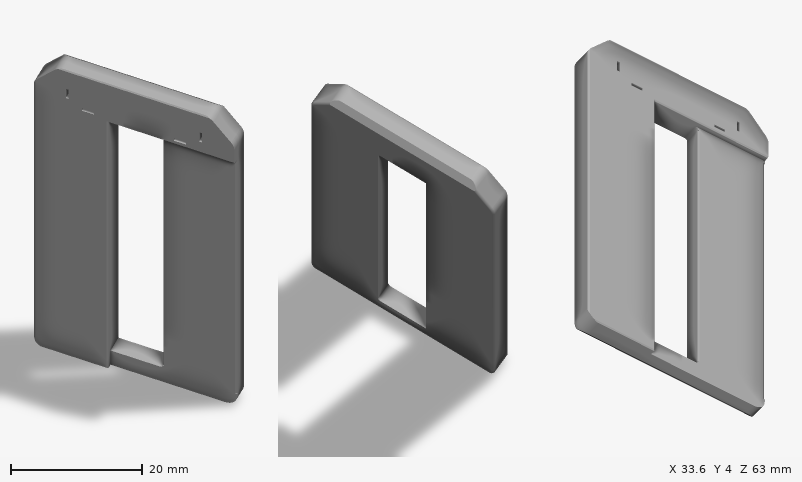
import cadquery as cq

WIDTH = 33.6
HEIGHT = 63.0
DEPTH = 4.0
PLATE_DEPTH = 1.0
FRAME_DEPTH = DEPTH - PLATE_DEPTH
FRONT_Y = -DEPTH / 2
JOINT_Y = FRONT_Y + PLATE_DEPTH
BACK_Y = DEPTH / 2
HALF_WIDTH = WIDTH / 2

CORNER_RADIUS = 2.0
TOP_CUT_WIDTH = 4.1
TOP_CUT_HEIGHT = 4.6

BACK_FILLET = 0.45
BACK_CHAMFER = 1.0
SIDE_BEVEL_WIDTH = 0.3
SIDE_BEVEL_DEPTH = 0.2
EDGE_BEVEL = 0.2
BEVEL_END_GAP = 0.55

WINDOW_LEFT = -4.35
WINDOW_RIGHT = 4.4
WINDOW_BOTTOM = 3.15
WINDOW_TOP = 54.55
WINDOW_WIDTH = WINDOW_RIGHT - WINDOW_LEFT
WINDOW_HEIGHT = WINDOW_TOP - WINDOW_BOTTOM
WINDOW_RADIUS = 0.5

SLOT_LENGTH = 2.0
SLOT_WIDTH = 0.5
UPRIGHT_SLOT_X = 11.15
UPRIGHT_SLOT_Z = 57.95
LEVEL_SLOT_X = 7.7
LEVEL_SLOT_Z = 55.55


def box(width, depth, height, x, y, z):
    """Box with its minimum corner at x, y, z."""
    return cq.Workplane("XY").box(width, depth, height, centered=False).translate((x, y, z))


def outline_slab(front_y, depth):
    """Slab with the full outline: cut top corners, all six corners rounded."""
    shoulder_z = HEIGHT - TOP_CUT_HEIGHT
    top_x = HALF_WIDTH - TOP_CUT_WIDTH
    outline = [
        (-HALF_WIDTH, 0),
        (HALF_WIDTH, 0),
        (HALF_WIDTH, shoulder_z),
        (top_x, HEIGHT),
        (-top_x, HEIGHT),
        (-HALF_WIDTH, shoulder_z),
    ]
    slab = cq.Workplane("XZ", origin=(0, front_y, 0)).polyline(outline).close().extrude(-depth)
    return slab.edges("|Y").fillet(CORNER_RADIUS)


def side_bevel(edge_x, front_y, width, depth, inward):
    """Full-height wedge at edge_x; inward is the X direction into the material."""
    corner = [(edge_x, front_y), (edge_x + inward * width, front_y), (edge_x, front_y + depth)]
    return cq.Workplane("XY").polyline(corner).close().extrude(HEIGHT)


def end_bevel(edge_z, face_y, size, inward_y, inward_z):
    """Full-width 45 degree wedge along the top or bottom edge."""
    corner = [(face_y, edge_z), (face_y + inward_y * size, edge_z), (face_y, edge_z + inward_z * size)]
    return cq.Workplane("YZ").polyline(corner).close().extrude(HALF_WIDTH, both=True)


def make_frame():
    """Back body: rounded at the back, chamfered at its ends, with the window through it."""
    frame = outline_slab(JOINT_Y, FRAME_DEPTH).faces(">Y").edges().fillet(BACK_FILLET)
    frame = frame.cut(end_bevel(HEIGHT, BACK_Y, BACK_CHAMFER, -1, -1))
    frame = frame.cut(end_bevel(0, BACK_Y, BACK_CHAMFER, -1, 1))

    window = box(WINDOW_WIDTH, FRAME_DEPTH, WINDOW_HEIGHT, WINDOW_LEFT, JOINT_Y, WINDOW_BOTTOM)
    frame = frame.cut(window.edges("|Y and >X").fillet(WINDOW_RADIUS))

    outer_bottom = CORNER_RADIUS + BEVEL_END_GAP
    outer_height = WINDOW_TOP - BEVEL_END_GAP - outer_bottom
    outer_span = box(WIDTH, DEPTH, outer_height, -HALF_WIDTH, FRONT_Y, outer_bottom)
    outer_bevel = side_bevel(HALF_WIDTH, JOINT_Y, SIDE_BEVEL_WIDTH, SIDE_BEVEL_DEPTH, -1)
    frame = frame.cut(outer_bevel.intersect(outer_span))

    straight_height = WINDOW_HEIGHT - 2 * WINDOW_RADIUS
    inner_span = box(WIDTH, DEPTH, straight_height, -HALF_WIDTH, FRONT_Y, WINDOW_BOTTOM + WINDOW_RADIUS)
    inner_bevel = side_bevel(WINDOW_RIGHT, JOINT_Y, EDGE_BEVEL, EDGE_BEVEL, 1)
    return frame.cut(inner_bevel.intersect(inner_span))


def make_plate():
    """Front body: an inverted L covering the left side and the top of the frame."""
    plate = outline_slab(FRONT_Y, PLATE_DEPTH)
    opening = box(WIDTH, PLATE_DEPTH, WINDOW_TOP, WINDOW_LEFT, FRONT_Y, 0)
    plate = plate.cut(opening)
    inner_edges = cq.selectors.BoxSelector(
        (WINDOW_LEFT - EDGE_BEVEL, FRONT_Y - EDGE_BEVEL, -EDGE_BEVEL),
        (HALF_WIDTH, FRONT_Y + EDGE_BEVEL, WINDOW_TOP + EDGE_BEVEL),
    )
    plate = plate.edges(inner_edges).edges("(|Z and <X) or (|X and >Z)").chamfer(EDGE_BEVEL)
    plate = plate.cut(side_bevel(-HALF_WIDTH, FRONT_Y, SIDE_BEVEL_WIDTH, SIDE_BEVEL_DEPTH, 1))
    plate = plate.cut(end_bevel(HEIGHT, FRONT_Y, EDGE_BEVEL, 1, -1))
    plate = plate.cut(end_bevel(0, FRONT_Y, EDGE_BEVEL, 1, 1))

    slots = [
        (UPRIGHT_SLOT_X, UPRIGHT_SLOT_Z, SLOT_WIDTH, SLOT_LENGTH),
        (LEVEL_SLOT_X, LEVEL_SLOT_Z, SLOT_LENGTH, SLOT_WIDTH),
    ]
    for x, z, width, height in slots:
        for side in (-1, 1):
            slot = box(width, PLATE_DEPTH, height, side * x - width / 2, FRONT_Y, z - height / 2)
            plate = plate.cut(slot)
    return plate


frame = make_frame()
plate = make_plate()
result = cq.Compound.makeCompound([frame.solids().val(), plate.solids().val()])